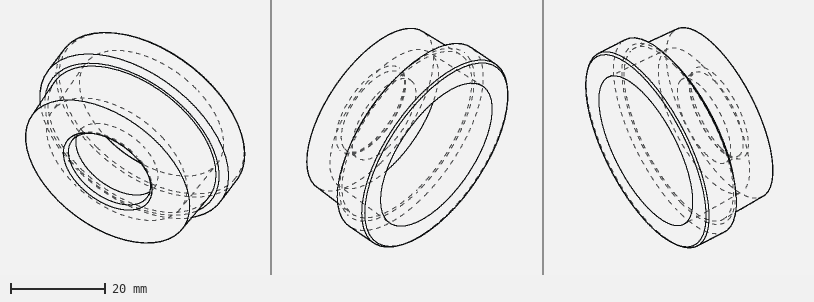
import cadquery as cq


total_length = 19.0
flange_length = 8.45
flange_front_bevel_length = 0.95
floor_thickness = 4.0

flange_radius = 46 / 2
boss_root_radius = 20.45
boss_face_radius = 20.0
flange_front_bevel_width = 1.75
bore_radius = 20.0 / 2
cavity_floor_radius = 17.1
cavity_rear_radius = 17.55

bore_lead_in_radius = 0.8
flange_rear_chamfer = 0.45

front_y = -total_length / 2
rear_y = total_length / 2
flange_front_y = rear_y - flange_length
floor_y = front_y + floor_thickness


def outer_body():
    """Solid of revolution with the tapered boss and the bevelled flange."""
    profile = [
        (0, front_y),
        (boss_face_radius, front_y),
        (boss_root_radius, flange_front_y),
        (flange_radius - flange_front_bevel_width, flange_front_y),
        (flange_radius, flange_front_y + flange_front_bevel_length),
        (flange_radius, rear_y - flange_rear_chamfer),
        (flange_radius - flange_rear_chamfer, rear_y),
        (0, rear_y),
    ]
    return cq.Workplane("XY").polyline(profile).close().revolve(360, (0, 0, 0), (0, 1, 0))


def bore():
    """Bore through the floor, with a rounded lead-in at the boss face."""
    return (
        cq.Workplane("XY")
        .moveTo(0, front_y)
        .lineTo(bore_radius + bore_lead_in_radius, front_y)
        .radiusArc((bore_radius, front_y + bore_lead_in_radius), -bore_lead_in_radius)
        .lineTo(bore_radius, floor_y)
        .lineTo(0, floor_y)
        .close()
        .revolve(360, (0, 0, 0), (0, 1, 0))
    )


def cavity():
    """Drafted cavity behind the floor, widening towards the open rear face."""
    profile = [
        (0, floor_y),
        (cavity_floor_radius, floor_y),
        (cavity_rear_radius, rear_y),
        (0, rear_y),
    ]
    return cq.Workplane("XY").polyline(profile).close().revolve(360, (0, 0, 0), (0, 1, 0))


result = outer_body().cut(bore()).cut(cavity())